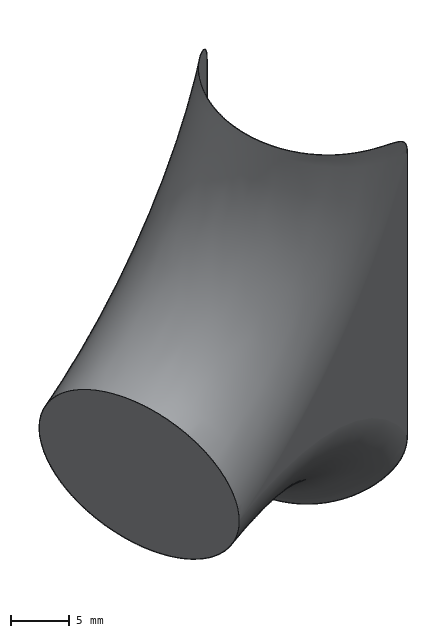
import cadquery as cq
import math

tube_radius = 10.0
bend_radius = 33.95
bend_center_setback = 2.35
saddle_center_y = 30.0
saddle_radius = 10.1

bend_center_y = -bend_center_setback
bend_center_z = math.sqrt(bend_radius**2 - bend_center_setback**2)
back_y = saddle_center_y - math.sqrt(saddle_radius**2 - tube_radius**2)


def centreline_height(y):
    """Height of the upper arm's centreline at depth y."""
    return bend_center_z - math.sqrt(bend_radius**2 - (y - bend_center_y)**2)


def make_web():
    """Flat-sided web filling the space between the two arm centrelines."""
    middle_y = back_y / 2
    middle_z = centreline_height(middle_y)
    back_z = centreline_height(back_y)
    return (
        cq.Workplane("YZ")
        .moveTo(0, 0)
        .threePointArc((middle_y, middle_z), (back_y, back_z))
        .lineTo(back_y, -back_z)
        .threePointArc((middle_y, -middle_z), (0, 0))
        .close()
        .extrude(tube_radius, both=True)
    )


def make_upper_arm():
    """Inner half of the upper bend, trimmed to the end face and the back plane."""
    ring = (
        cq.Workplane("XY", origin=(0, bend_center_y, bend_center_z))
        .moveTo(-tube_radius, bend_radius)
        .threePointArc((0, bend_radius - tube_radius), (tube_radius, bend_radius))
        .close()
        .revolve(360, (0, 0), (1, 0))
    )
    trim = cq.Workplane("XY").box(
        2 * tube_radius, back_y, bend_center_z, centered=(True, False, False)
    )
    return ring.intersect(trim)


def make_saddle():
    """Vertical round bar whose shape is hollowed out of the back."""
    return (
        cq.Workplane("XY")
        .center(0, saddle_center_y)
        .circle(saddle_radius)
        .extrude(bend_center_z, both=True)
    )


upper_arm = make_upper_arm()
lower_arm = upper_arm.mirror("XY")
result = make_web().union(upper_arm).union(lower_arm).cut(make_saddle())